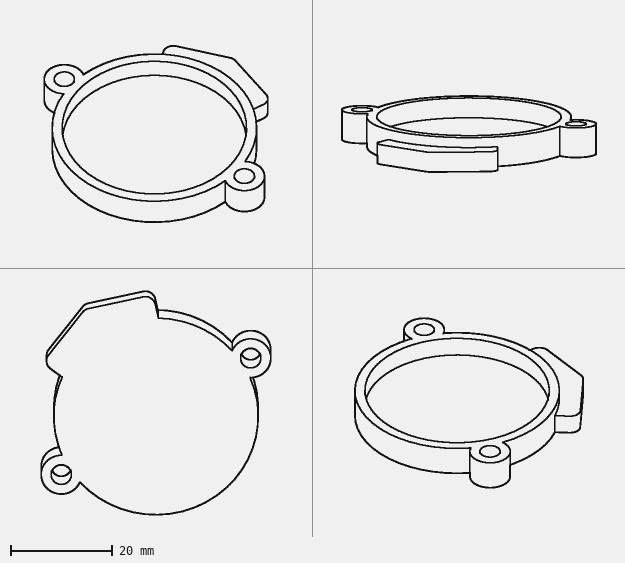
import cadquery as cq

TRAY_RADIUS = 20.24
TRAY_HEIGHT = 6.0
WALL = 2.0
FLOOR = 2.0

LUG_RADIUS = 4.0
LUG_HOLE_DIAMETER = 4.0

BRACKET_HEIGHT = 4.0
BRACKET_ROUND = 2.0
BRACKET_TOP_Y = 26.01
ARM_LENGTH = 13.1
ARM_INNER_DEPTH = 4.0
ARM_ANGLE = 20.0

inner_radius = TRAY_RADIUS - WALL
lug_offset = inner_radius + LUG_RADIUS
lug_places = [(-lug_offset, 0), (lug_offset, 0)]
peak_y = BRACKET_TOP_Y - BRACKET_ROUND


def tray_disc():
    """Solid disc that the tray is hollowed from."""
    return cq.Workplane("XY").circle(TRAY_RADIUS).extrude(TRAY_HEIGHT)


def tray_pocket():
    """Round pocket above the floor, open at the top."""
    pocket_depth = TRAY_HEIGHT - FLOOR
    return cq.Workplane("XY").workplane(offset=FLOOR).circle(inner_radius).extrude(pocket_depth)


def lug_posts(radius):
    """Full-height cylinders at both lug places."""
    return cq.Workplane("XY").pushPoints(lug_places).circle(radius).extrude(TRAY_HEIGHT)


def bracket():
    """Both arms and the rounded peak; the inner edges end inside the tray wall."""
    peak = cq.Workplane("XY").center(0, peak_y).circle(BRACKET_ROUND).extrude(BRACKET_HEIGHT)
    right_arm = (
        cq.Workplane("XY")
        .moveTo(0, -ARM_INNER_DEPTH)
        .lineTo(ARM_LENGTH, -ARM_INNER_DEPTH)
        .lineTo(ARM_LENGTH, BRACKET_ROUND)
        .lineTo(0, BRACKET_ROUND)
        .close()
        .extrude(BRACKET_HEIGHT)
        .edges("|Z and >X and >Y")
        .fillet(BRACKET_ROUND)
        .rotate((0, 0, 0), (0, 0, 1), -ARM_ANGLE)
        .translate((0, peak_y, 0))
    )
    left_arm = right_arm.mirror("YZ")
    return peak.union(right_arm).union(left_arm)


body = tray_disc().union(lug_posts(LUG_RADIUS)).union(bracket())
result = body.cut(tray_pocket()).cut(lug_posts(LUG_HOLE_DIAMETER / 2))